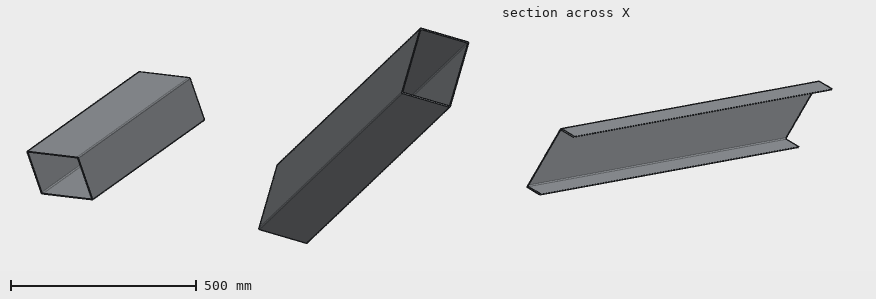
import cadquery as cq

length = 898.5
side = 150.0
wall = 3.2
end_offset = 105.0
corner_radius = 3.05

inner_side = side - 2 * wall
half_length = length / 2
half_side = side / 2


def rounded_bar(width):
    """Square bar along Y with rounded lengthwise edges, centred on the origin."""
    return cq.Workplane("XY").box(width, length, width).edges("|Y").fillet(corner_radius)


tube = rounded_bar(side).cut(rounded_bar(inner_side))

slanted_envelope = (
    cq.Workplane("YZ")
    .polyline([
        (-half_length, half_side),
        (half_length - end_offset, half_side),
        (half_length, -half_side),
        (-half_length + end_offset, -half_side),
    ])
    .close()
    .extrude(half_side, both=True)
)

result = tube.intersect(slanted_envelope)